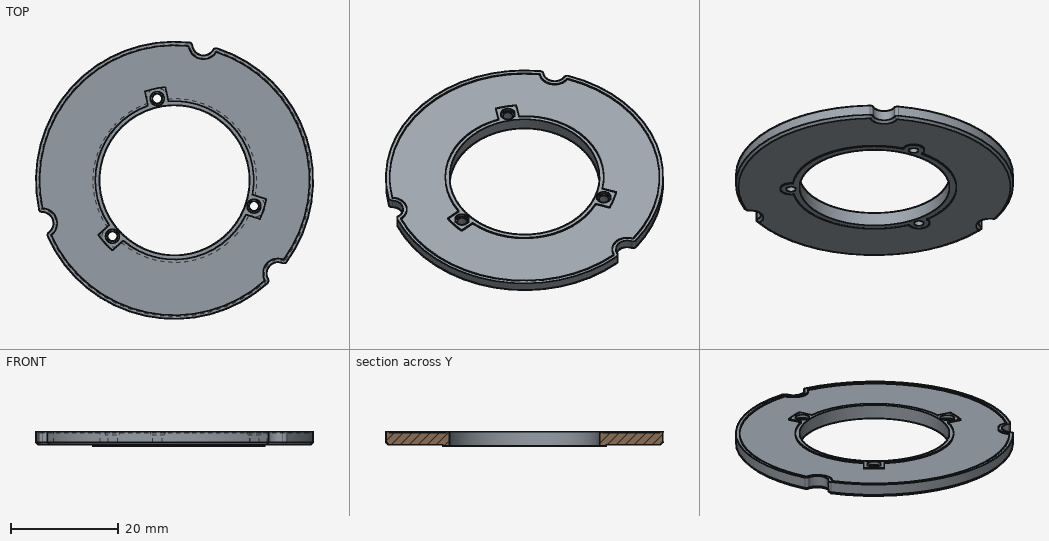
import cadquery as cq
import math

PLATE_RADIUS = 25.9
PLATE_THICKNESS = 2.5
BORE_RADIUS = 14.0
BOTTOM_CHAMFER = 0.5

REPEATS = 3
FIRST_NOTCH_ANGLE = 78.0
FIRST_SCREW_ANGLE = 102.0

NOTCH_RADIUS = 2.1
NOTCH_CENTER_RADIUS = 26.0
NOTCH_MOUTH_FILLET = 0.65

RECESS_DEPTH = 0.2
RIM_WIDTH = 0.7
INNER_RING_WIDTH = 0.8
TAB_WIDTH = 3.9
TAB_END_RADIUS = 17.5

SCREW_CENTER_RADIUS = 15.6
SCREW_HOLE_DIAMETER = 1.8
COUNTERBORE_DIAMETER = 2.6
COUNTERBORE_DEPTH = 0.6

PAD_HEIGHT = 0.2
PAD_RING_RADIUS = 15.3
PAD_LOBE_RADIUS = 2.0


def angles_from(first_angle):
    """Evenly spaced angles in degrees, starting at first_angle."""
    return [first_angle + i * 360 / REPEATS for i in range(REPEATS)]


def points_on_circle(radius, first_angle):
    """Evenly spaced points on a circle about the axis."""
    return [
        (radius * math.cos(math.radians(a)), radius * math.sin(math.radians(a)))
        for a in angles_from(first_angle)
    ]


def disc(radius, height, bottom=0.0):
    """Solid cylinder about the axis, standing on the level bottom."""
    return cq.Workplane("XY").workplane(offset=bottom).circle(radius).extrude(height)


def notched_disc(radius, notch_radius, height, bottom=0.0):
    """Disc with the edge notches cut out of it."""
    notches = (
        cq.Workplane("XY")
        .workplane(offset=bottom)
        .pushPoints(points_on_circle(NOTCH_CENTER_RADIUS, FIRST_NOTCH_ANGLE))
        .circle(notch_radius)
        .extrude(height)
    )
    return disc(radius, height, bottom).cut(notches)


def make_plate():
    """Notched plate with rounded notch mouths and a chamfered bottom edge."""
    plate = notched_disc(PLATE_RADIUS, NOTCH_RADIUS, PLATE_THICKNESS)
    plate = plate.edges("|Z").fillet(NOTCH_MOUTH_FILLET)
    return plate.faces("<Z").edges().chamfer(BOTTOM_CHAMFER)


def make_recess():
    """Volume removed from the top face."""
    floor = PLATE_THICKNESS - RECESS_DEPTH
    recess = notched_disc(PLATE_RADIUS - RIM_WIDTH, NOTCH_RADIUS + RIM_WIDTH, RECESS_DEPTH, floor)
    recess = recess.cut(disc(BORE_RADIUS + INNER_RING_WIDTH, RECESS_DEPTH, floor))
    tab_ends = disc(TAB_END_RADIUS, RECESS_DEPTH, floor)
    for angle in angles_from(FIRST_SCREW_ANGLE):
        strip = (
            cq.Workplane("XY")
            .workplane(offset=floor)
            .rect(PLATE_RADIUS, TAB_WIDTH)
            .extrude(RECESS_DEPTH)
            .translate((PLATE_RADIUS / 2, 0, 0))
            .rotate((0, 0, 0), (0, 0, 1), angle)
        )
        recess = recess.cut(strip.intersect(tab_ends))
    return recess


def make_pad():
    """Pad that stands out below the plate."""
    lobes = (
        cq.Workplane("XY")
        .workplane(offset=-PAD_HEIGHT)
        .pushPoints(points_on_circle(SCREW_CENTER_RADIUS, FIRST_SCREW_ANGLE))
        .circle(PAD_LOBE_RADIUS)
        .extrude(PAD_HEIGHT)
    )
    return disc(PAD_RING_RADIUS, PAD_HEIGHT, -PAD_HEIGHT).union(lobes)


def cut_bore_and_screw_holes(body):
    """Cut the central bore and the screw holes, counterbored from the top."""
    body = body.cut(disc(BORE_RADIUS, PLATE_THICKNESS + PAD_HEIGHT, -PAD_HEIGHT))
    return (
        body.faces(">Z")
        .workplane(origin=(0, 0, PLATE_THICKNESS))
        .pushPoints(points_on_circle(SCREW_CENTER_RADIUS, FIRST_SCREW_ANGLE))
        .cboreHole(SCREW_HOLE_DIAMETER, COUNTERBORE_DIAMETER, COUNTERBORE_DEPTH)
    )


result = cut_bore_and_screw_holes(make_plate().cut(make_recess()).union(make_pad()))